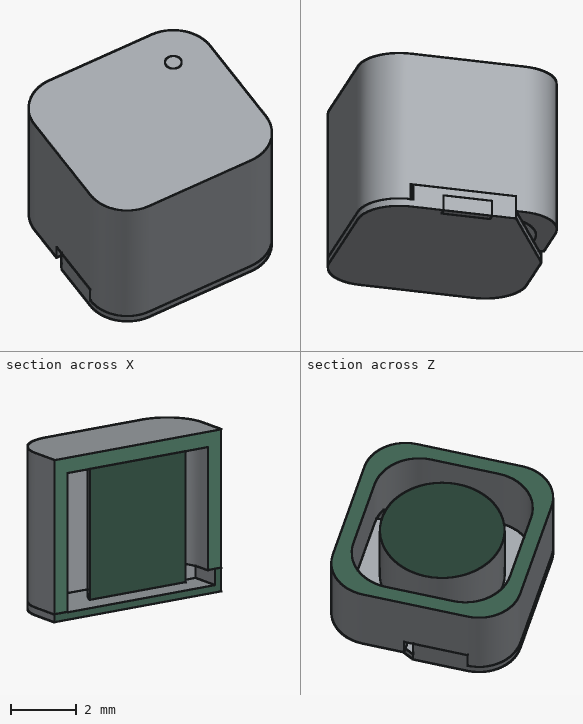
import cadquery as cq

width = 5.9
length = 6.2
height = 5.1
corner_radius = 1.3
half_width = width / 2
half_length = length / 2
flat_half_width = half_width - corner_radius
flat_half_length = half_length - corner_radius

sheet = 0.25
clip_top = 3 * sheet
terminal_top = 2 * sheet

wall = 0.495
notch_depth = 0.745
cavity_radius = 1.395
cavity_top = height - wall

front_clip_start = -0.06
front_notch_start = -0.35

left_clip_start = -1.51
left_clip_end = 1.705

coil_radius = 1.9
terminal_half_width = 0.76
dot_radius = 0.255
dot_depth = 0.06


def box_between(low, high):
    """Box spanning two opposite corner points."""
    size = [b - a for a, b in zip(low, high)]
    return cq.Workplane("XY").box(*size, centered=False).translate(low)


def rounded_block(x_size, y_size, bottom, top, radius):
    """Upright block with four rounded vertical edges."""
    block = cq.Workplane("XY").workplane(offset=bottom).rect(x_size, y_size).extrude(top - bottom)
    return block.edges("|Z").fillet(radius)


def front_strip(x_start, depth):
    """Strip along the -Y face above the base plate, ending where the corner rounding begins."""
    return box_between(
        (x_start, -half_length, sheet),
        (flat_half_width, depth - half_length, clip_top),
    )


def left_strip(y_start, y_end, bottom, top, depth):
    """Strip along the -X face."""
    return box_between(
        (-half_width, y_start, bottom),
        (depth - half_width, y_end, top),
    )


def make_dot():
    """Orientation mark, flush with the top, on the axis of the -X +Y corner."""
    dot = cq.Workplane("XY").workplane(offset=height - dot_depth)
    return dot.center(-flat_half_width, flat_half_length).circle(dot_radius).extrude(dot_depth)


def make_terminal():
    """Upright contact set into the base plate and the left clip."""
    return left_strip(-terminal_half_width, terminal_half_width, 0, terminal_top, sheet)


def make_housing(dot):
    """Shell open at the bottom, with clip notches through two walls."""
    shell = rounded_block(width, length, sheet, height, corner_radius)
    cavity = rounded_block(width - 2 * wall, length - 2 * wall, sheet, cavity_top, cavity_radius)
    front_notch = front_strip(front_notch_start, notch_depth)
    left_notch = left_strip(left_clip_start, flat_half_length, sheet, clip_top, notch_depth)
    return shell.cut(cavity).cut(front_notch).cut(left_notch).cut(dot)


def make_base(terminal):
    """Plate with one corner cut off and two upright clips."""
    plate = rounded_block(width, length, 0, sheet, corner_radius)
    corner_cut = (
        cq.Workplane("XY")
        .moveTo(-half_width, left_clip_start)
        .lineTo(front_clip_start, -half_length)
        .lineTo(-half_width, -half_length)
        .close()
        .extrude(sheet)
    )
    front_clip = front_strip(front_clip_start, sheet)
    left_clip = left_strip(left_clip_start, left_clip_end, sheet, clip_top, sheet)
    return plate.cut(corner_cut).union(front_clip).union(left_clip).cut(terminal)


def make_coil():
    """Round coil from just above the base plate up to the cavity roof."""
    coil = cq.Workplane("XY").workplane(offset=terminal_top)
    return coil.circle(coil_radius).extrude(cavity_top - terminal_top)


dot = make_dot()
terminal = make_terminal()
housing = make_housing(dot)
base = make_base(terminal)
coil = make_coil()

result = cq.Compound.makeCompound(
    [housing.solids().val(), base.solids().val(), coil.val(), terminal.val(), dot.val()]
)